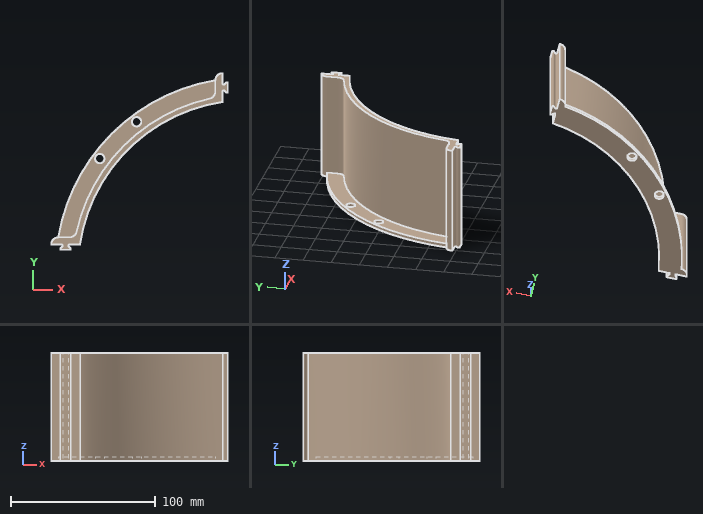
import cadquery as cq
import math

HEIGHT = 75.0

AXIS_OFFSET = 17.3
WALL_INNER_RADIUS = 117.5
WALL_THICKNESS = 4.0
WALL_OUTER_RADIUS = WALL_INNER_RADIUS + WALL_THICKNESS

FLANGE_THICKNESS = 5.08
FLANGE_REACH = 119.1
TIP_RADIUS = FLANGE_THICKNESS
CORNER_FILLET = 5.0

KEY_HEIGHT = 3.75
KEY_NECK_HALF_WIDTH = 2.0
KEY_HEAD_HALF_WIDTH = 3.7
KEY_RADIUS = 0.75

PLATE_THICKNESS = 3.0
PLATE_OUTER_RADIUS = 133.35
HOLE_DIAMETER = 6.35
HOLE_CIRCLE_RADIUS = 128.25
HOLE_HALF_ANGLE = 8.1
DIAGONAL_ANGLE = 135.0

WALL_INNER_END = math.sqrt(WALL_INNER_RADIUS**2 - AXIS_OFFSET**2) - AXIS_OFFSET
KEY_CENTER = (WALL_INNER_END + FLANGE_REACH) / 2


def polar(radius, degrees):
    """Point at a radius and angle about the arc axis."""
    angle = math.radians(degrees)
    return (AXIS_OFFSET + radius * math.cos(angle), -AXIS_OFFSET + radius * math.sin(angle))


def sector(inner_radius, outer_radius, height):
    """Arc-shaped slab between two radii, cut off at both joint planes."""
    ring = (
        cq.Workplane("XY")
        .center(AXIS_OFFSET, -AXIS_OFFSET)
        .circle(outer_radius)
        .circle(inner_radius)
        .extrude(height)
    )
    quadrant = (
        cq.Workplane("XY")
        .rect(-outer_radius, outer_radius, centered=False)
        .extrude(height)
    )
    return ring.intersect(quadrant)


def mirror_to_other_end(body):
    """Copy of a body from the Y = 0 end, reflected across the part's diagonal to the X = 0 end."""
    return body.mirror("XZ").rotate((0, 0, 0), (0, 0, 1), -90)


def flange():
    """Flange standing on Y = 0, with a quarter-round on its outer tip."""
    diagonal = TIP_RADIUS * math.sqrt(0.5)
    round_start = FLANGE_REACH - TIP_RADIUS
    wall_middle = WALL_INNER_END + WALL_THICKNESS / 2
    return (
        cq.Workplane("XY")
        .moveTo(-wall_middle, 0)
        .lineTo(-FLANGE_REACH, 0)
        .threePointArc((-round_start - diagonal, diagonal), (-round_start, TIP_RADIUS))
        .lineTo(-wall_middle, FLANGE_THICKNESS)
        .close()
        .extrude(HEIGHT)
    )


def left(point):
    """Point reflected to the left side of the key."""
    return (-point[0], point[1])


def dovetail_key():
    """Dovetail key below Y = 0: each side is a concave root arc, a flank and a convex head arc."""
    root_x = KEY_NECK_HALF_WIDTH + KEY_RADIUS
    root_y = -KEY_RADIUS
    head_x = KEY_HEAD_HALF_WIDTH - KEY_RADIUS
    head_y = KEY_RADIUS - KEY_HEIGHT
    center_distance = math.hypot(head_x - root_x, root_y - head_y)
    center_angle = math.atan2(head_x - root_x, root_y - head_y)
    flank = center_angle + math.asin(2 * KEY_RADIUS / center_distance)
    across = KEY_RADIUS * math.cos(flank)
    along = KEY_RADIUS * math.sin(flank)
    root_end = (root_x - across, root_y - along)
    head_start = (head_x + across, head_y + along)

    neck = (KEY_NECK_HALF_WIDTH, root_y)
    head = (KEY_HEAD_HALF_WIDTH, head_y)
    root_start = (root_x, 0)
    head_end = (head_x, -KEY_HEIGHT)
    return (
        cq.Workplane("XY")
        .center(-KEY_CENTER, 0)
        .moveTo(*root_start)
        .threePointArc(neck, root_end)
        .lineTo(*head_start)
        .threePointArc(head, head_end)
        .lineTo(*left(head_end))
        .threePointArc(left(head), left(head_start))
        .lineTo(*left(root_end))
        .threePointArc(left(neck), left(root_start))
        .close()
        .extrude(HEIGHT)
    )


def shell():
    """Curved wall with both flanges and the fillets between them."""
    end = flange()
    body = sector(WALL_INNER_RADIUS, WALL_OUTER_RADIUS, HEIGHT).union(end).union(mirror_to_other_end(end))
    corner_y = FLANGE_THICKNESS
    corner_x = AXIS_OFFSET - math.sqrt(WALL_OUTER_RADIUS**2 - (AXIS_OFFSET + corner_y) ** 2)
    for x, y in ((corner_x, corner_y), (-corner_y, -corner_x)):
        corner = cq.selectors.NearestToPointSelector((x, y, HEIGHT / 2))
        body = body.edges(corner).fillet(CORNER_FILLET)
    return body


def mounting_plate():
    """Thin plate outside the wall, between the flanges, with two through holes."""
    wall_middle_radius = WALL_INNER_RADIUS + WALL_THICKNESS / 2
    between_flanges = (
        cq.Workplane("XY")
        .rect(-PLATE_OUTER_RADIUS, PLATE_OUTER_RADIUS, centered=False)
        .extrude(PLATE_THICKNESS)
        .translate((-FLANGE_THICKNESS, FLANGE_THICKNESS, 0))
    )
    plate = sector(wall_middle_radius, PLATE_OUTER_RADIUS, PLATE_THICKNESS).intersect(between_flanges)
    hole_angles = (DIAGONAL_ANGLE - HOLE_HALF_ANGLE, DIAGONAL_ANGLE + HOLE_HALF_ANGLE)
    hole_centers = [polar(HOLE_CIRCLE_RADIUS, angle) for angle in hole_angles]
    holes = (
        cq.Workplane("XY")
        .pushPoints(hole_centers)
        .circle(HOLE_DIAMETER / 2)
        .extrude(PLATE_THICKNESS)
    )
    return plate.cut(holes)


key = dovetail_key()
result = shell().union(mounting_plate()).union(key).union(mirror_to_other_end(key))